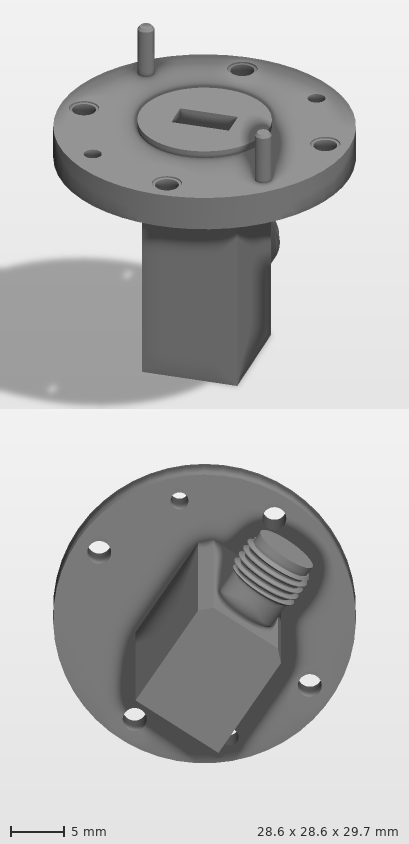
import cadquery as cq
import math


total_height = 29.72
flange_top = 24.67
flange_thickness = 3.35
flange_bottom = flange_top - flange_thickness

flange_diameter = 28.55
boss_diameter = 12.7
boss_height = 0.7
boss_top = flange_top + boss_height
hole_circle_radius = 11.92
screw_hole_diameter = 2.25
counterbore_diameter = 2.85
counterbore_depth = 0.15
dowel_hole_diameter = 1.7

pin_diameter = 1.58
pin_tip_height = 0.3
pin_tip_inset = 0.2

block_width = 9.4
block_front = -block_width / 2
block_back = 7.0
block_chamfer = 1.05

guide_width = 5.7
guide_height = guide_width / 2
guide_floor = (block_width - guide_height) / 2

connector_z = 6.33
connector_diameter = 5.97
connector_end = 14.0
thread_diameter = 6.98
thread_start = 9.65
thread_end = 13.05
thread_pitch = 0.75
thread_base_width = 0.68
thread_crest_width = 0.1
thread_clearance = 0.1
thread_crest_y = 10.15
thread_taper = 0.45
thread_embed = 0.1


def polar_point(angle):
    """Point on the hole circle at an angle in degrees."""
    turn = math.radians(angle)
    return (hole_circle_radius * math.cos(turn), hole_circle_radius * math.sin(turn))


def cylinder(diameter, bottom, top, points=((0, 0),)):
    """Upright cylinders of one diameter between two heights."""
    return (
        cq.Workplane("XY", origin=(0, 0, bottom))
        .pushPoints(points)
        .circle(diameter / 2)
        .extrude(top - bottom)
    )


def flange():
    """Flange disc with its boss, screw holes and dowel holes."""
    screw_points = [polar_point(angle) for angle in (0, 90, 180, 270)]
    dowel_points = [polar_point(angle) for angle in (45, 225)]
    disc = cylinder(flange_diameter, flange_bottom, flange_top)
    boss = cylinder(boss_diameter, flange_top, boss_top)
    screw_holes = cylinder(screw_hole_diameter, flange_bottom, flange_top, screw_points)
    counterbores = cylinder(
        counterbore_diameter, flange_top - counterbore_depth, flange_top, screw_points
    )
    dowel_holes = cylinder(dowel_hole_diameter, flange_bottom, flange_top, dowel_points)
    return disc.union(boss).cut(screw_holes).cut(counterbores).cut(dowel_holes)


def pins():
    """Two dowel pins with tapered tips, seated through the flange."""
    pin_points = [polar_point(angle) for angle in (135, 315)]
    return (
        cylinder(pin_diameter, flange_bottom, total_height, pin_points)
        .faces(">Z")
        .chamfer(pin_tip_height, pin_tip_inset)
    )


def block():
    """Rectangular block with chamfered upright edges on the connector side."""
    return (
        cq.Workplane("XY")
        .box(block_width, block_back - block_front, flange_bottom, centered=(True, False, False))
        .translate((0, block_front, 0))
        .edges("|Z")
        .edges(">Y")
        .chamfer(block_chamfer)
    )


def guide_opening():
    """Rectangular waveguide cavity, open at the boss face."""
    return (
        cq.Workplane("XY", origin=(0, 0, guide_floor))
        .rect(guide_width, guide_height)
        .extrude(boss_top - guide_floor)
    )


def connector_cylinder(diameter, start, end):
    """Cylinder on the connector axis between two Y positions."""
    return (
        cq.Workplane("XZ", origin=(0, start, connector_z))
        .circle(diameter / 2)
        .extrude(start - end)
    )


def thread():
    """Right-hand helical ridge, bevelled at both ends of the thread."""
    root = connector_diameter / 2 - thread_embed
    crest = thread_diameter / 2
    run_in = 2 * thread_pitch
    length = thread_end - thread_start + 2 * run_in
    path = cq.Wire.makeHelix(thread_pitch, length, root)
    ridge = (
        cq.Workplane("XZ")
        .polyline([
            (root, -thread_base_width / 2),
            (crest, -thread_crest_width / 2),
            (crest, thread_crest_width / 2),
            (root, thread_base_width / 2),
        ])
        .close()
        .sweep(cq.Workplane(obj=path), isFrenet=True)
        .rotate((0, 0, 0), (0, 0, 1), 90)
        .rotate((0, 0, 0), (1, 0, 0), -90)
        .rotate((0, 0, 0), (0, 1, 0), 180)
        .translate((0, thread_crest_y - run_in, connector_z))
    )
    envelope = connector_cylinder(
        thread_diameter + 2 * thread_clearance, thread_start, thread_end
    )
    return ridge.intersect(envelope.edges().chamfer(thread_taper))


def connector():
    """Threaded connector barrel standing on the back of the block."""
    return connector_cylinder(connector_diameter, block_back, connector_end).union(thread())


result = flange().union(pins()).union(block()).cut(guide_opening()).union(connector())